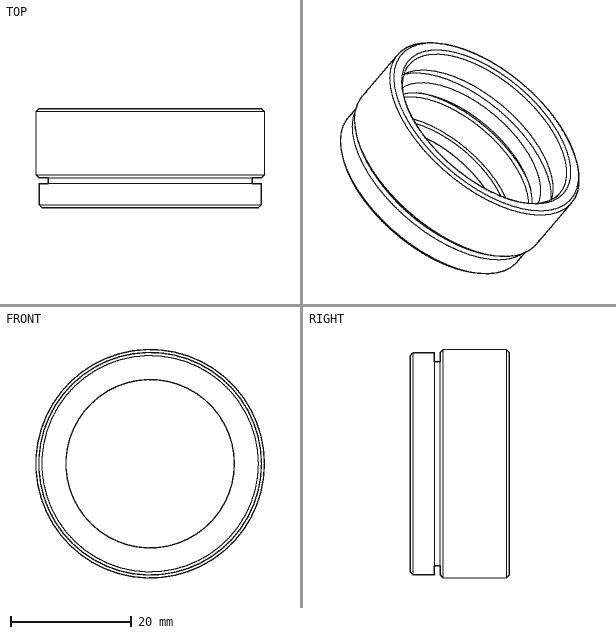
import cadquery as cq

length = 16.5
body_diameter = 38.1
edge_chamfer = 0.5

collar_diameter = 37.05
collar_length = 4.05
outer_groove_diameter = 34.05
outer_groove_width = 0.95

lip_length = 2.02
lip_diameter = 28.0
bore_diameter = 30.02
inner_groove_start = 6.9
inner_groove_width = 1.0
inner_groove_diameter = 32.4
counterbore_start = 10.48
counterbore_diameter = 33.0
relief_width = 1.5
relief_diameter = 34.3
mouth_chamfer = 0.5

body_start = collar_length + outer_groove_width


def cylinder(diameter, start, end):
    """Solid cylinder on the ring axis, between two distances from the front face."""
    return (
        cq.Workplane("XZ", origin=(0, start, 0))
        .circle(diameter / 2)
        .extrude(start - end)
    )


body = cylinder(body_diameter, body_start, length).edges().chamfer(edge_chamfer)
collar = cylinder(collar_diameter, 0, collar_length).faces("<Y").edges().chamfer(edge_chamfer)
groove_core = cylinder(outer_groove_diameter, 0, length)
outer_form = groove_core.union(collar).union(body)

lip_hole = cylinder(lip_diameter, 0, length)
bore = cylinder(bore_diameter, lip_length, length)
inner_groove = cylinder(inner_groove_diameter, inner_groove_start, inner_groove_start + inner_groove_width)
counterbore = cylinder(counterbore_diameter, counterbore_start, length)
relief = cylinder(relief_diameter, counterbore_start, counterbore_start + relief_width)

result = outer_form
for cavity in (lip_hole, bore, inner_groove, counterbore, relief):
    result = result.cut(cavity)

result = result.faces(">Y").edges(cq.selectors.RadiusNthSelector(0)).chamfer(mouth_chamfer)